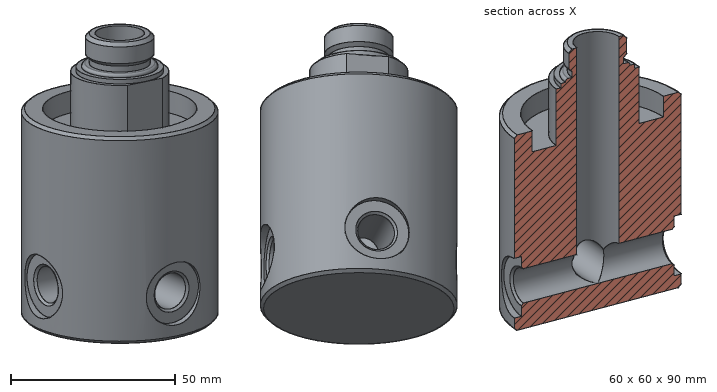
import cadquery as cq

total_height = 90.0
body_diameter = 60.0
body_height = 66.0
body_chamfer = 1.0

recess_diameter = 47.0
recess_depth = 7.0

neck_diameter = 30.0
neck_top = body_height + 12.0
flats_width = 27.0

collar_diameter = 26.7
collar_top = neck_top + 1.4
groove_diameter = 18.6
ring_diameter = 23.3
ring_top = collar_top + 1.1
ring_rounding = 1.0
head_diameter = 21.0
head_bottom = ring_top + 1.9
head_chamfer = (head_diameter - groove_diameter) / 2

bore_diameter = 15.0
port_height = 14.5
port_diameter = 11.4
port_mouth_diameter = 13.0
port_chamfer = (port_mouth_diameter - port_diameter) / 2
spotface_diameter = 20.0
spotface_depth = 2.5
spotface_plane = body_diameter / 2 - spotface_depth


def cylinder(diameter, bottom, top):
    """Upright cylinder on the Z axis between two heights."""
    return cq.Workplane("XY").workplane(offset=bottom).circle(diameter / 2).extrude(top - bottom)


def make_body():
    body = cylinder(body_diameter, 0, body_height).faces("<Z or >Z").edges().chamfer(body_chamfer)
    return body.cut(cylinder(recess_diameter, body_height - recess_depth, body_height))


def make_neck():
    floor = body_height - recess_depth
    round_neck = cylinder(neck_diameter, floor, neck_top)
    flats = cq.Workplane("XY").box(flats_width, neck_diameter, total_height, centered=(True, True, False))
    return round_neck.intersect(flats)


def make_spigot():
    collar = cylinder(collar_diameter, neck_top, collar_top)
    ring = cylinder(ring_diameter, collar_top, ring_top).faces(">Z").edges().fillet(ring_rounding)
    groove_core = cylinder(groove_diameter, collar_top, head_bottom)
    head = cylinder(head_diameter, head_bottom, total_height).faces("<Z or >Z").edges().chamfer(head_chamfer)
    return collar.union(ring).union(groove_core).union(head)


def make_port_mouth():
    """Cutter for one port mouth on the +X side: conical chamfer and spotface."""
    cone = cq.Workplane(
        cq.Solid.makeCone(
            port_diameter / 2,
            port_mouth_diameter / 2,
            port_chamfer,
            pnt=cq.Vector(spotface_plane - port_chamfer, 0, port_height),
            dir=cq.Vector(1, 0, 0),
        )
    )
    plane = cq.Workplane("YZ", origin=(spotface_plane, 0, port_height))
    spotface = plane.circle(spotface_diameter / 2).extrude(body_diameter / 2)
    return cone.union(spotface)


result = make_body().union(make_neck()).union(make_spigot())
result = result.cut(cylinder(bore_diameter, port_height, total_height))

for side_plane in ("YZ", "XZ"):
    port = cq.Workplane(side_plane, origin=(0, 0, port_height)).circle(port_diameter / 2)
    result = result.cut(port.extrude(body_diameter / 2, both=True))

port_mouth = make_port_mouth()
for angle in (0, 90, 180, 270):
    result = result.cut(port_mouth.rotate((0, 0, 0), (0, 0, 1), angle))